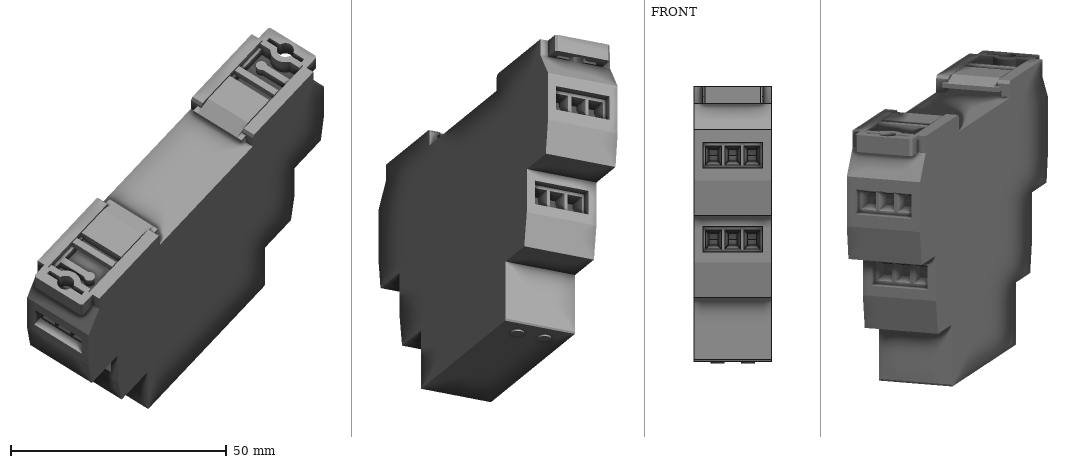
import cadquery as cq

WIDTH = 18.0
LENGTH = 90.0
DECK_Z = 59.85
TOP_Z = 63.9
SHOULDER_Y = 40.95
SHOULDER_Z = 53.8
UPPER_TAPER_Z = 41.9
UPPER_STEP_Z = 33.8
UPPER_STEP_Y = 43.8
LOWER_TIER_Y = 33.75
LOWER_TAPER_Z = 22.95
LOWER_STEP_Z = 14.85
LOWER_STEP_Y = 32.4
BASE_Y = 22.4
BASE_CHAMFER_RUN = 0.2
BASE_CHAMFER_RISE = 0.45

WALL_END_Y = 17.7
WALL_CHAMFER_RUN = 0.5
WALL_CHAMFER_DROP = 0.7
CHANNEL_HALF = 6.0
GROOVE_HALF = 7.0

CLIP_HALF = 5.8
CLIP_BOTTOM_Z = 61.5
FLANGE_TOP_Z = 62.55
RAIL_TOP_Z = 62.1
RAIL_INNER = 5.3
LIP_END_Y = 16.0
LIP_SLOPE_Y = 20.2
WINDOW_INNER_Y = 28.35
WINDOW_OUTER_Y = 40.0
BAR_Y = 31.05
BAR_WIDTH = 1.6
FINGER_Y = 36.2
FINGER_WIDTH = 1.6
KNOB_X = -2.5
KNOB_DIAMETER = 2.5
TAB_CHAMFER_X = 0.5
TAB_CHAMFER_Y = 0.4
HOLE_Y = 42.0
HOLE_DIAMETER = 4.0
HOLE_WALL_RADIUS = 3.5
SLOT_LENGTH = 10.2
SLOT_WIDTH = 1.1

RECESS_WIDTH = 13.9
RECESS_HEIGHT = 5.9
RECESS_DEPTH = 2.3
UPPER_RECESS_Z = 47.9
LOWER_RECESS_Z = 28.35
CELL_PITCH = 4.5
CELL_WIDTH = 3.7
CELL_HEIGHT = 4.4
CELL_DEPTH = 2.7
CELL_FLOOR_WIDTH = 2.1
CELL_FLOOR_HEIGHT = 2.7
CELL_FLOOR_STEP = 0.45

FOOT_DIAMETER = 3.1
FOOT_HEIGHT = 0.4
FOOT_X = 3.5
FOOT_Y = 17.5


def block(half_width, y_min, y_max, z_min, z_max):
    """Box centred on X = 0."""
    size = (2 * half_width, y_max - y_min, z_max - z_min)
    return cq.Workplane("XY").box(*size, centered=(True, False, False)).translate((0, y_min, z_min))


def side_extrusion(points, half_width):
    """Extrude a closed (Y, Z) outline symmetrically along X."""
    return cq.Workplane("YZ").polyline(points).close().extrude(half_width, both=True)


def both_ends(shape):
    """The shape together with its copy turned half a turn about Z."""
    return shape.union(shape.rotate((0, 0, 0), (0, 0, 1), 180))


def housing():
    half = [
        (BASE_Y - BASE_CHAMFER_RUN, 0),
        (BASE_Y, BASE_CHAMFER_RISE),
        (BASE_Y, LOWER_STEP_Z),
        (LOWER_STEP_Y, LOWER_STEP_Z),
        (LOWER_TIER_Y, LOWER_TAPER_Z),
        (LOWER_TIER_Y, UPPER_STEP_Z),
        (UPPER_STEP_Y, UPPER_STEP_Z),
        (LENGTH / 2, UPPER_TAPER_Z),
        (LENGTH / 2, SHOULDER_Z),
        (SHOULDER_Y, DECK_Z),
    ]
    mirrored = [(-y, z) for y, z in reversed(half)]
    return side_extrusion(half + mirrored, WIDTH / 2)


def channel_walls():
    outline = [
        (WALL_END_Y, DECK_Z),
        (SHOULDER_Y, DECK_Z),
        (SHOULDER_Y, TOP_Z),
        (WALL_END_Y + WALL_CHAMFER_RUN, TOP_Z),
        (WALL_END_Y, TOP_Z - WALL_CHAMFER_DROP),
    ]
    channel = block(CHANNEL_HALF, WALL_END_Y, SHOULDER_Y, DECK_Z, TOP_Z)
    groove = block(GROOVE_HALF, WALL_END_Y, SHOULDER_Y, DECK_Z, FLANGE_TOP_Z)
    return side_extrusion(outline, WIDTH / 2).cut(channel).cut(groove)


def clip():
    tongue = side_extrusion([
        (LIP_END_Y, CLIP_BOTTOM_Z),
        (SHOULDER_Y, CLIP_BOTTOM_Z),
        (SHOULDER_Y, TOP_Z),
        (LIP_SLOPE_Y, TOP_Z),
        (LIP_END_Y, FLANGE_TOP_Z),
    ], CLIP_HALF)
    flange = block(GROOVE_HALF, LIP_END_Y, SHOULDER_Y, CLIP_BOTTOM_Z, FLANGE_TOP_Z)
    support = block(CLIP_HALF, WINDOW_INNER_Y, SHOULDER_Y, DECK_Z, CLIP_BOTTOM_Z)
    body = tongue.union(flange).union(support)

    window = block(CHANNEL_HALF, WINDOW_INNER_Y, WINDOW_OUTER_Y, RAIL_TOP_Z, TOP_Z)
    window = window.union(block(RAIL_INNER, WINDOW_INNER_Y, WINDOW_OUTER_Y, DECK_Z, TOP_Z))
    body = body.cut(window)

    bar_y_min = BAR_Y - BAR_WIDTH / 2
    bar = block(CLIP_HALF, bar_y_min, bar_y_min + BAR_WIDTH, RAIL_TOP_Z, TOP_Z)
    return body.union(bar).union(finger()).union(tab()).cut(screw_opening())


def finger():
    """Thin beam with a round knob, joined to one side rail."""
    height = RAIL_TOP_Z - DECK_Z
    deck = cq.Workplane("XY").workplane(offset=DECK_Z)
    length = RAIL_INNER - KNOB_X
    beam = deck.center(KNOB_X + length / 2, FINGER_Y).rect(length, FINGER_WIDTH).extrude(height)
    knob = deck.center(KNOB_X, FINGER_Y).circle(KNOB_DIAMETER / 2).extrude(height)
    return beam.union(knob)


def tab():
    """Overhanging end of the clip, with a round wall behind the screw opening."""
    end_y = LENGTH / 2
    head = (
        cq.Workplane("XY")
        .workplane(offset=DECK_Z)
        .moveTo(-GROOVE_HALF, SHOULDER_Y)
        .lineTo(GROOVE_HALF, SHOULDER_Y)
        .lineTo(GROOVE_HALF, end_y - TAB_CHAMFER_Y)
        .lineTo(GROOVE_HALF - TAB_CHAMFER_X, end_y)
        .lineTo(TAB_CHAMFER_X - GROOVE_HALF, end_y)
        .lineTo(-GROOVE_HALF, end_y - TAB_CHAMFER_Y)
        .close()
        .extrude(TOP_Z - DECK_Z)
    )
    round_wall = (
        cq.Workplane("XY", origin=(0, HOLE_Y, DECK_Z))
        .circle(HOLE_WALL_RADIUS)
        .extrude(TOP_Z - DECK_Z)
        .intersect(block(HOLE_WALL_RADIUS, WINDOW_INNER_Y, SHOULDER_Y, DECK_Z, TOP_Z))
    )
    return head.union(round_wall)


def screw_opening():
    """Round hole crossed by a straight slot, through the tab."""
    plane = cq.Workplane("XY", origin=(0, HOLE_Y, DECK_Z))
    hole = plane.circle(HOLE_DIAMETER / 2).extrude(TOP_Z - DECK_Z)
    slot = plane.rect(SLOT_LENGTH, SLOT_WIDTH).extrude(TOP_Z - DECK_Z)
    return hole.union(slot)


def terminal_opening(face_y, center_z):
    """Cutter for one recess with three tapered cells, in a wall facing -Y."""
    recess = block(
        RECESS_WIDTH / 2, -face_y, RECESS_DEPTH - face_y,
        center_z - RECESS_HEIGHT / 2, center_z + RECESS_HEIGHT / 2,
    )
    back_y = RECESS_DEPTH - face_y
    floor_y = back_y + CELL_DEPTH
    cell = (
        cq.Workplane("XZ", origin=(0, back_y, center_z))
        .rect(CELL_WIDTH, CELL_HEIGHT)
        .workplane(offset=-CELL_DEPTH)
        .rect(CELL_FLOOR_WIDTH, CELL_FLOOR_HEIGHT)
        .loft()
    )
    floor_step = block(
        CELL_FLOOR_WIDTH / 2, floor_y, floor_y + CELL_FLOOR_STEP,
        center_z, center_z + CELL_FLOOR_HEIGHT / 2,
    )
    cell = cell.union(floor_step)
    for index in (-1, 0, 1):
        recess = recess.union(cell.translate((index * CELL_PITCH, 0, 0)))
    return recess


def feet():
    points = [(-FOOT_X, FOOT_Y), (FOOT_X, FOOT_Y)]
    return cq.Workplane("XY").pushPoints(points).circle(FOOT_DIAMETER / 2).extrude(-FOOT_HEIGHT)


result = housing()
result = result.union(both_ends(channel_walls()))
result = result.union(both_ends(clip()))
result = result.cut(both_ends(terminal_opening(LENGTH / 2, UPPER_RECESS_Z)))
result = result.cut(both_ends(terminal_opening(LOWER_TIER_Y, LOWER_RECESS_Z)))
result = result.union(feet())